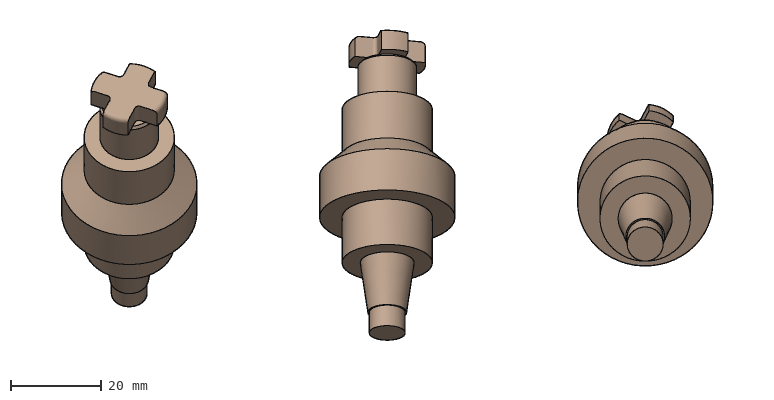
import cadquery as cq

total_height = 70.0
tip_diameter = 8.0
tip_top = 5.0
taper_bottom_diameter = 8.6
taper_top_diameter = 12.0
taper_top = 17.0
body_diameter = 20.0
body_top = 54.2
collar_diameter = 30.0
collar_bottom = 28.0
collar_top = 38.0
shoulder_height = 4.8

neck_diameter = 13.0
neck_chamfer = 0.55
head_diameter = 17.0
head_height = 5.0
arm_width = 6.0
inner_corner_radius = 1.0
rim_radius = 1.0
head_bottom = total_height - head_height


def make_shaft():
    """Revolve the stepped half profile from the tip up to the neck."""
    tip = tip_diameter / 2
    body = body_diameter / 2
    collar = collar_diameter / 2
    neck = neck_diameter / 2
    profile = [
        (0, 0),
        (tip, 0),
        (tip, tip_top),
        (taper_bottom_diameter / 2, tip_top),
        (taper_top_diameter / 2, taper_top),
        (body, taper_top),
        (body, collar_bottom),
        (collar, collar_bottom),
        (collar, collar_top),
        (body, collar_top + shoulder_height),
        (body, body_top),
        (neck, body_top),
        (neck, head_bottom - neck_chamfer),
        (neck - neck_chamfer, head_bottom),
        (0, head_bottom),
    ]
    return cq.Workplane("XZ").polyline(profile).close().revolve(360, (0, 0, 0), (0, 1, 0))


def make_head():
    """Cut a disc with a rounded upper rim down to a cross with rounded inner corners."""
    base = cq.Workplane("XY").workplane(offset=head_bottom)
    disc = base.circle(head_diameter / 2).extrude(head_height).faces(">Z").edges().fillet(rim_radius)
    arm_length = 1.5 * head_diameter
    cross = base.rect(arm_length, arm_width).extrude(head_height)
    cross = cross.union(base.rect(arm_width, arm_length).extrude(head_height))
    inner_corners = cq.selectors.BoxSelector(
        (-arm_width, -arm_width, 0), (arm_width, arm_width, total_height)
    )
    cross = cross.edges("|Z").edges(inner_corners).fillet(inner_corner_radius)
    return disc.intersect(cross)


result = make_shaft().union(make_head())